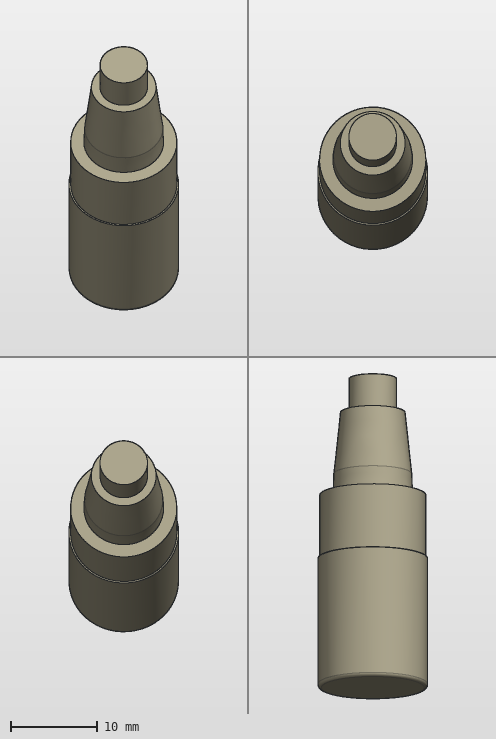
import cadquery as cq

barrel_diameter = 12.7
barrel_length = 15.3
barrel_rim_radius = 0.4
collar_diameter = 12.3
collar_length = 7.5

neck_base_diameter = 9.24
neck_top_diameter = 9.05
neck_length = 2.5
taper_top_diameter = 7.5
taper_length = 7.3
cable_diameter = 5.5
cable_length = 4.0

housing_top = barrel_length + collar_length
neck_top = housing_top + neck_length
taper_top = neck_top + taper_length
cable_end = taper_top + cable_length


def make_housing():
    """Barrel with a rounded bottom rim, carrying the collar."""
    barrel = cq.Workplane("XY").circle(barrel_diameter / 2).extrude(barrel_length)
    barrel = barrel.faces("<Z").edges().fillet(barrel_rim_radius)
    return barrel.faces(">Z").workplane().circle(collar_diameter / 2).extrude(collar_length)


def make_cable_boot():
    """Boot and cable end, turned about Z and standing on the housing."""
    half_profile = (
        cq.Workplane("XZ")
        .moveTo(0, housing_top)
        .lineTo(neck_base_diameter / 2, housing_top)
        .lineTo(neck_top_diameter / 2, neck_top)
        .lineTo(taper_top_diameter / 2, taper_top)
        .lineTo(cable_diameter / 2, taper_top)
        .lineTo(cable_diameter / 2, cable_end)
        .lineTo(0, cable_end)
        .close()
    )
    return half_profile.revolve(360, (0, 0, 0), (0, 1, 0))


housing = make_housing()
cable_boot = make_cable_boot()

result = cq.Compound.makeCompound([housing.val(), cable_boot.val()])